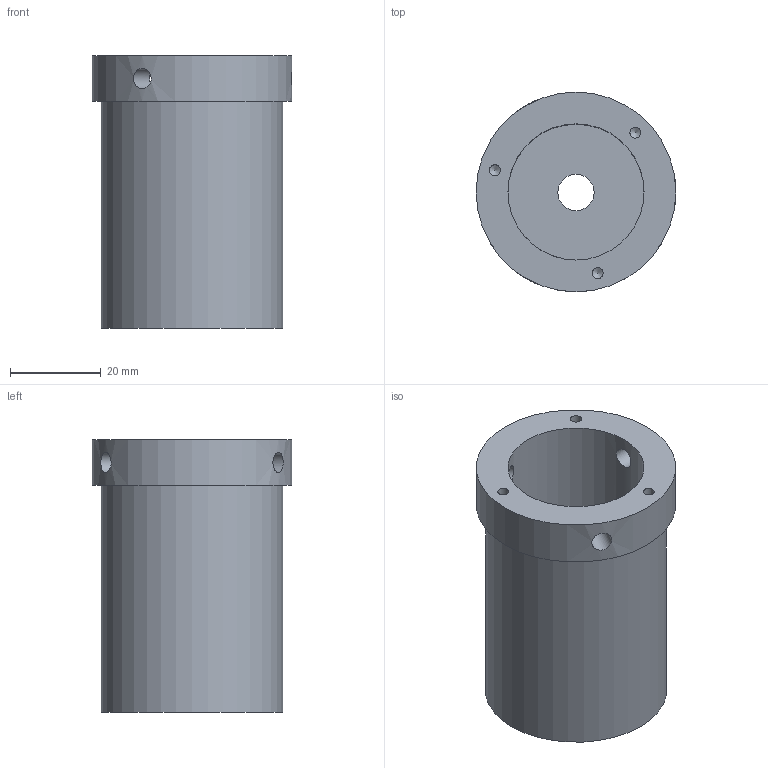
import cadquery as cq
import math

total_height = 60.0
body_diameter = 40.0
collar_diameter = 44.0
collar_height = 10.0
bore_diameter = 30.0
floor_thickness = (body_diameter - bore_diameter) / 2
floor_hole_diameter = 8.0

hole_count = 3
hole_pitch_angle = 360.0 / hole_count

radial_hole_diameter = 4.5
radial_hole_start_angle = 0.0
radial_hole_z = total_height - collar_height / 2

face_hole_diameter = 2.4
face_hole_depth = 8.0
face_hole_circle_radius = (collar_diameter / 2 + bore_diameter / 2) / 2
face_hole_start_angle = 45.0
drill_tip_angle = 118.0


def make_sleeve():
    """Plain body with its collar, top bore and floor hole."""
    body = cq.Workplane("XY").circle(body_diameter / 2).extrude(total_height)
    collar = (
        cq.Workplane("XY", origin=(0, 0, total_height - collar_height))
        .circle(collar_diameter / 2)
        .extrude(collar_height)
    )
    bore = (
        cq.Workplane("XY", origin=(0, 0, floor_thickness))
        .circle(bore_diameter / 2)
        .extrude(total_height - floor_thickness)
    )
    floor_hole = cq.Workplane("XY").circle(floor_hole_diameter / 2).extrude(floor_thickness)
    return body.union(collar).cut(bore).cut(floor_hole)


def make_radial_hole():
    """Cutter along +X from the axis out through the collar wall."""
    return (
        cq.Workplane("YZ", origin=(0, 0, radial_hole_z))
        .circle(radial_hole_diameter / 2)
        .extrude(collar_diameter / 2)
    )


def make_face_hole():
    """Cutter going down from the top face, ending in a drill-point cone."""
    hole_radius = face_hole_diameter / 2
    tip_length = hole_radius / math.tan(math.radians(drill_tip_angle / 2))
    shoulder_z = total_height - face_hole_depth
    half_profile = (
        cq.Workplane("XZ")
        .moveTo(0, total_height)
        .lineTo(hole_radius, total_height)
        .lineTo(hole_radius, shoulder_z)
        .lineTo(0, shoulder_z - tip_length)
        .close()
    )
    drill = half_profile.revolve(360, (0, 0, 0), (0, 1, 0))
    return drill.translate((face_hole_circle_radius, 0, 0))


def cut_around_axis(part, cutter, start_angle):
    """Cut the part with equally spaced copies of the cutter around the Z axis."""
    for index in range(hole_count):
        angle = start_angle + index * hole_pitch_angle
        part = part.cut(cutter.rotate((0, 0, 0), (0, 0, 1), angle))
    return part


sleeve = make_sleeve()
sleeve = cut_around_axis(sleeve, make_radial_hole(), radial_hole_start_angle)
result = cut_around_axis(sleeve, make_face_hole(), face_hole_start_angle)